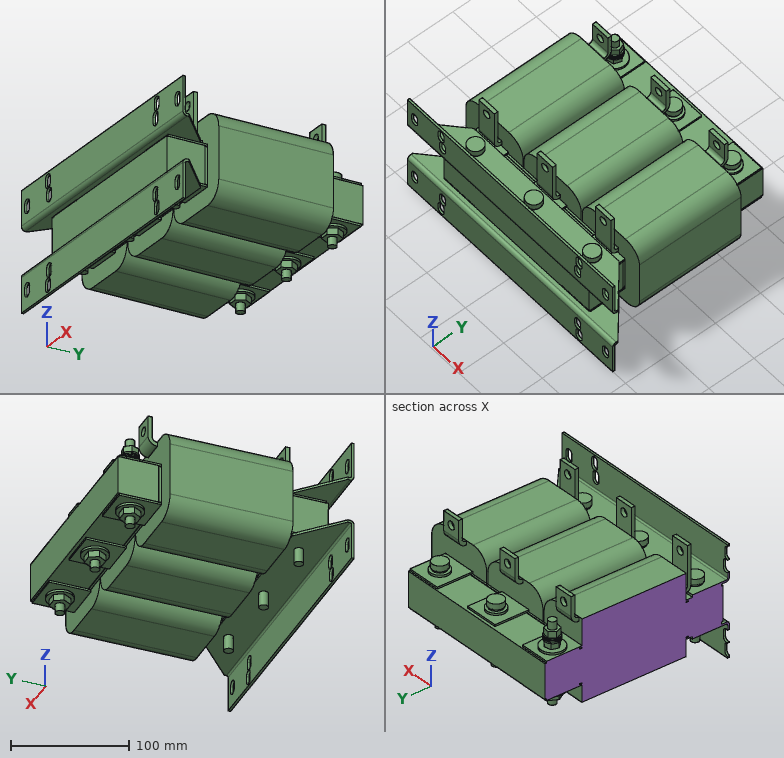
import cadquery as cq
import math


coil_pitch = 75.8
leg_width = 37.5
core_height = 36.3
core_length = 193.3
coil_length = 113.0
coil_width = 74.2
coil_top = 47.0
coil_bottom = -37.5
coil_corner_width = 18.5
coil_corner_height = 17.4
coil_corner_radius = 18.0
yoke_gap = 2.5
board_inset = 0.5

core_width = 2 * coil_pitch + leg_width
coil_end = coil_length / 2
yoke_start = coil_end + yoke_gap
core_end = core_length / 2
core_top = core_height / 2
phase_positions = [-coil_pitch, 0, coil_pitch]

strip_width = 36.8
strip_thickness = 2.0
outer_strip_length = 190.0
middle_strip_length = 187.0
strip_top = core_top + strip_thickness

bracket_width = 267.0
bracket_thickness = 2.5
bracket_face = -103.9
bracket_rear = -63.3
bracket_corner = -98.0
bracket_reach = 57.1
bend_radius = 4.0
slot_width = 7.5
slot_length = 13.0
slot_centres = [(124.2, 39.0), (89.7, 48.5), (87.8, 35.2)]
bracket_top = strip_top + bracket_thickness

lug_width = 20.0
lug_thickness = 4.0
lug_outer_face = 65.1
lug_top = 70.8
lug_hole_diameter = 8.3
lug_bend_radius = 8.0
front_lug_bottom = 22.7
rear_lug_bottom = 42.7

bolt_offset = 77.5
shank_diameter = 8.3
shank_bottom = -36.0
stud_top = 48.0
neck_diameter = 14.0
neck_height = 2.1
head_diameter = 16.3
head_height = 6.0
head_washer_diameter = 20.0
clamp_washer_diameter = 24.5
clamp_washer_thickness = 2.1
bottom_nut_flats = 16.0
bottom_nut_height = 6.1
stud_nut_corners = 15.0
stud_nut_height = 6.5
lower_nut_turn = 12
upper_nut_turn = -10
plain_washer_diameter = 16.3
spring_washer_diameter = 15.2
stud_washer_thickness = 1.5
washer_top = strip_top + clamp_washer_thickness


def box(x_range, y_range, z_range):
    """Block between the given limits on each axis."""
    lengths = [high - low for low, high in (x_range, y_range, z_range)]
    corner = (x_range[0], y_range[0], z_range[0])
    return cq.Workplane("XY").box(*lengths, centered=False).translate(corner)


def cylinder(x, y, z, diameter, height):
    """Upright cylinder standing on height z."""
    return cq.Workplane("XY", origin=(x, y, z)).circle(diameter / 2).extrude(height)


def hexagon(x, y, z, corners, height, turn):
    """Upright hexagonal prism, turned about its axis by an angle in degrees."""
    prism = cq.Workplane("XY").polygon(6, corners).extrude(height)
    return prism.rotate((0, 0, 0), (0, 0, 1), turn).translate((x, y, z))


def make_core():
    """Two yokes with slightly recessed boards closing the gap to the coils."""
    half_width = core_width / 2
    board_half_width = half_width - board_inset
    board_top = core_top - board_inset
    parts = []
    for inner, outer in [(-core_end, -yoke_start), (yoke_start, core_end)]:
        parts.append(box((-half_width, half_width), (inner, outer), (-core_top, core_top)))
    for inner, outer in [(-yoke_start, -coil_end), (coil_end, yoke_start)]:
        parts.append(box((-board_half_width, board_half_width), (inner, outer), (-board_top, board_top)))
    return parts


def make_coil(x):
    """Coil filled by its leg, with its long corners rounded."""
    side = coil_width / 2
    flat = side - coil_corner_width
    side_top = coil_top - coil_corner_height
    side_bottom = coil_bottom + coil_corner_height
    return (
        cq.Workplane("XZ", origin=(x, 0, 0))
        .moveTo(-flat, coil_top)
        .lineTo(flat, coil_top)
        .radiusArc((side, side_top), coil_corner_radius)
        .lineTo(side, side_bottom)
        .radiusArc((flat, coil_bottom), coil_corner_radius)
        .lineTo(-flat, coil_bottom)
        .radiusArc((-side, side_bottom), coil_corner_radius)
        .lineTo(-side, side_top)
        .radiusArc((-flat, coil_top), coil_corner_radius)
        .close()
        .extrude(coil_length / 2, both=True)
    )


def make_strips(x):
    """Insulating strips along one leg, on the top and the bottom of the core."""
    half_length = (middle_strip_length if x == 0 else outer_strip_length) / 2
    x_range = (x - strip_width / 2, x + strip_width / 2)
    upper = box(x_range, (-half_length, half_length), (core_top, strip_top))
    return [upper, upper.mirror("XY")]


def make_bracket():
    """Upper angle bracket: tapered plate on the core, bent up into a slotted flange."""
    inner_face = bracket_face + bracket_thickness
    profile = (
        cq.Workplane("YZ")
        .moveTo(bracket_rear, strip_top)
        .lineTo(bracket_face + bend_radius, strip_top)
        .radiusArc((bracket_face, strip_top + bend_radius), bend_radius)
        .lineTo(bracket_face, bracket_reach)
        .lineTo(inner_face, bracket_reach)
        .lineTo(inner_face, strip_top + bend_radius)
        .radiusArc((bracket_face + bend_radius, bracket_top), bracket_thickness - bend_radius)
        .lineTo(bracket_rear, bracket_top)
        .close()
        .extrude(bracket_width / 2, both=True)
    )
    half_width = bracket_width / 2
    outline = (
        cq.Workplane("XY")
        .polyline([
            (-half_width, bracket_face),
            (half_width, bracket_face),
            (half_width, bracket_corner),
            (core_width / 2, bracket_rear),
            (-core_width / 2, bracket_rear),
            (-half_width, bracket_corner),
        ])
        .close()
        .extrude(bracket_reach)
    )
    slots = (
        cq.Workplane("XZ", origin=(0, inner_face, 0))
        .pushPoints([(side * x, z) for side in (-1, 1) for x, z in slot_centres])
        .slot2D(slot_length, slot_width, 90)
        .extrude(bracket_thickness)
    )
    return profile.intersect(outline).cut(slots)


def make_lug(x, bottom):
    """Lug leaving the rear coil face horizontally at the given height and bent upright."""
    inner_face = lug_outer_face - lug_thickness
    bend_start = lug_outer_face - lug_bend_radius
    bend_end = bottom + lug_bend_radius
    lug = (
        cq.Workplane("YZ", origin=(x, 0, 0))
        .moveTo(coil_end, bottom)
        .lineTo(bend_start, bottom)
        .radiusArc((lug_outer_face, bend_end), -lug_bend_radius)
        .lineTo(lug_outer_face, lug_top)
        .lineTo(inner_face, lug_top)
        .lineTo(inner_face, bend_end)
        .radiusArc((bend_start, bottom + lug_thickness), lug_bend_radius - lug_thickness)
        .lineTo(coil_end, bottom + lug_thickness)
        .close()
        .extrude(lug_width / 2, both=True)
    )
    hole = (
        cq.Workplane("XZ", origin=(x, lug_outer_face, lug_top - lug_width / 2))
        .circle(lug_hole_diameter / 2)
        .extrude(lug_thickness)
    )
    return lug.cut(hole)


def make_bolt(x, y, seat):
    """Round-headed bolt whose neck stands on the given seat height."""
    head_bottom = seat + neck_height
    return [
        cylinder(x, y, shank_bottom, shank_diameter, head_bottom - shank_bottom),
        cylinder(x, y, seat, neck_diameter, neck_height),
        cylinder(x, y, head_bottom, head_diameter, head_height),
    ]


def make_bottom_nut(x, y):
    """Washer and nut clamping a rear bolt under the core."""
    corners = bottom_nut_flats / math.cos(math.pi / 6)
    return [
        cylinder(x, y, -washer_top, clamp_washer_diameter, clamp_washer_thickness),
        hexagon(x, y, -washer_top - bottom_nut_height, corners, bottom_nut_height, 0),
    ]


def make_stud(x, y):
    """Earthing stud with a wide washer and two nuts that clamp a stack of small washers."""
    parts = [
        cylinder(x, y, shank_bottom, shank_diameter, stud_top - shank_bottom),
        cylinder(x, y, strip_top, clamp_washer_diameter, clamp_washer_thickness),
        hexagon(x, y, washer_top, stud_nut_corners, stud_nut_height, lower_nut_turn),
    ]
    height = washer_top + stud_nut_height
    for diameter in (plain_washer_diameter, spring_washer_diameter, plain_washer_diameter):
        parts.append(cylinder(x, y, height, diameter, stud_washer_thickness))
        height += stud_washer_thickness
    parts.append(hexagon(x, y, height, stud_nut_corners, stud_nut_height, upper_nut_turn))
    return parts


parts = make_core()
for x in phase_positions:
    parts.append(make_coil(x))
    parts += make_strips(x)
    parts.append(make_lug(x, rear_lug_bottom))
    parts.append(make_lug(-x, front_lug_bottom).rotate((0, 0, 0), (0, 0, 1), 180))
    parts += make_bolt(x, -bolt_offset, bracket_top)
    parts += make_bottom_nut(x, bolt_offset)

parts += make_stud(phase_positions[0], bolt_offset)
for x in phase_positions[1:]:
    parts.append(cylinder(x, bolt_offset, strip_top, head_washer_diameter, clamp_washer_thickness))
    parts += make_bolt(x, bolt_offset, washer_top)

upper_bracket = make_bracket()
parts += [upper_bracket, upper_bracket.mirror("XY")]

result = parts[0]
for part in parts[1:]:
    result = result.union(part)